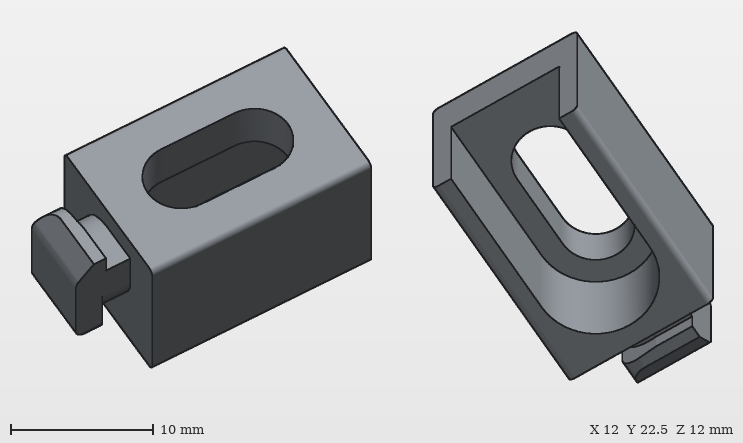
import cadquery as cq
import math

body_side = 12.0
body_length = 18.0
body_edge_radius = 0.5

slot_width = 5.5
slot_length = 11.5
slot_middle_y = body_length / 2
slot_upper_depth = 4.0
channel_wall = 1.5

hook_reach = 4.5
hook_width = 6.0
hook_middle_z = 1.01
neck_length = 2.0
neck_corner_radius = hook_width / 2
head_height = 9.0
head_corner_radius = 1.5
head_chamfer = 1.5
head_nose_radius = 1.0
ramp_angle = 5.5


def make_body():
    bar = cq.Workplane("XY").box(body_side, body_length, body_side)
    return bar.edges("|Y").fillet(body_edge_radius).translate((0, body_length / 2, 0))


def make_slot():
    return (
        cq.Workplane("XY", origin=(0, slot_middle_y, -body_side / 2))
        .slot2D(slot_length, slot_width, 90)
        .extrude(body_side)
    )


def make_channel():
    """Channel with a round front end, open at the underside and the back."""
    half_width = body_side / 2 - channel_wall
    round_middle_y = slot_middle_y - (slot_length - slot_width) / 2
    return (
        cq.Workplane("XY", origin=(0, 0, -body_side / 2))
        .moveTo(-half_width, body_length)
        .lineTo(-half_width, round_middle_y)
        .threePointArc((0, round_middle_y - half_width), (half_width, round_middle_y))
        .lineTo(half_width, body_length)
        .close()
        .extrude(body_side - slot_upper_depth)
    )


def rounded_bar(height, corner_radius, front_y, back_y):
    """Bar along Y with its upper -X and lower +X corners rounded."""
    length = back_y - front_y
    bar = cq.Workplane("XY").box(hook_width, length, height)
    bar = bar.edges("(<X and >Z) or (>X and <Z)").fillet(corner_radius)
    return bar.translate((0, (front_y + back_y) / 2, hook_middle_z))


def make_head_profile():
    """Side outline of the head, chamfered at the front, with rounded noses."""
    half_height = head_height / 2
    flat_half_height = half_height - head_chamfer
    profile = (
        cq.Workplane("YZ", origin=(-hook_width / 2, 0, hook_middle_z))
        .moveTo(-neck_length, -half_height)
        .lineTo(head_chamfer - hook_reach, -half_height)
        .lineTo(-hook_reach, -flat_half_height)
        .lineTo(-hook_reach, flat_half_height)
        .lineTo(head_chamfer - hook_reach, half_height)
        .lineTo(-neck_length, half_height)
        .close()
        .extrude(hook_width)
    )
    return profile.faces("<Y").edges("|X").fillet(head_nose_radius)


def make_ramp():
    """Wedge that slopes the upper -X quarter of the head's back face."""
    half_width = hook_width / 2
    ramp_depth = half_width * math.tan(math.radians(ramp_angle))
    return (
        cq.Workplane("XY", origin=(0, 0, hook_middle_z))
        .moveTo(0, -neck_length)
        .lineTo(-half_width, -neck_length - ramp_depth)
        .lineTo(-half_width, -neck_length)
        .close()
        .extrude(head_height / 2)
    )


def make_hook():
    head = rounded_bar(head_height, head_corner_radius, -hook_reach, -neck_length)
    head = head.intersect(make_head_profile())
    ramp = make_ramp()
    opposite_ramp = ramp.rotate((0, 0, hook_middle_z), (0, 1, hook_middle_z), 180)
    head = head.cut(ramp).cut(opposite_ramp)
    neck_front_y = -(neck_length + hook_reach - head_chamfer) / 2
    neck = rounded_bar(hook_width, neck_corner_radius, neck_front_y, 0)
    return head.union(neck)


result = make_body().cut(make_slot()).cut(make_channel()).union(make_hook())